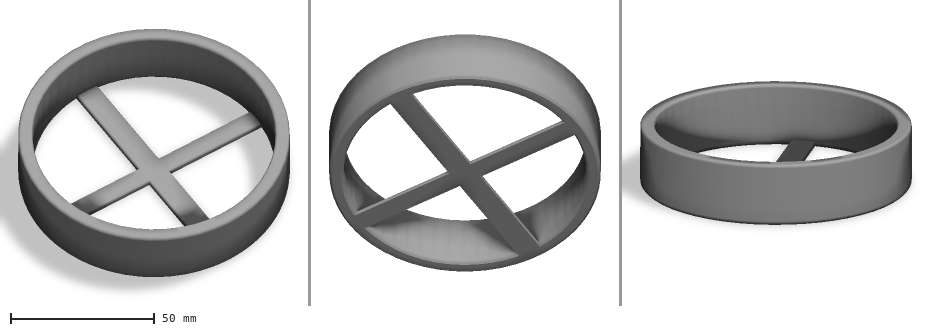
import cadquery as cq

outer_diameter = 94.5
inner_diameter = 84.5
height = 22.0
rim_fillet = 1.0
base_chamfer = 0.9
chamfer_blend = 1.1

x_bar_width = 8.5
y_bar_width = 7.0
bar_height = 2.0
bar_fillet = 0.8
bar_overlap = 1.9


def make_ring():
    """Ring with rounded top edges and chamfers, softened where they meet the walls, below."""
    ring = cq.Workplane("XY").circle(outer_diameter / 2).circle(inner_diameter / 2).extrude(height)
    ring = ring.faces(">Z").edges().fillet(rim_fillet)
    ring = ring.faces("<Z").edges().chamfer(base_chamfer)
    chamfer_top = cq.selectors.BoxSelector(
        (-outer_diameter, -outer_diameter, base_chamfer / 2),
        (outer_diameter, outer_diameter, base_chamfer * 3 / 2),
        boundingbox=True,
    )
    return ring.edges("%CIRCLE").edges(chamfer_top).fillet(chamfer_blend)


def make_cross():
    """Two crossing bars with rounded upper edges."""
    bar_length = inner_diameter + 2 * bar_overlap
    on_base = (True, True, False)
    x_bar = cq.Workplane("XY").box(bar_length, x_bar_width, bar_height, centered=on_base)
    y_bar = cq.Workplane("XY").box(y_bar_width, bar_length, bar_height, centered=on_base)
    cross = x_bar.union(y_bar)
    return cross.faces(">Z").edges().fillet(bar_fillet)


result = make_ring().union(make_cross())